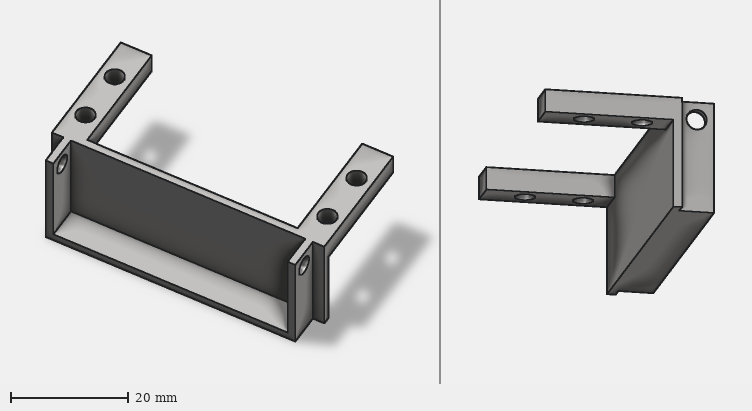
import cadquery as cq

total_width = 53.5
total_depth = 30.0
total_height = 19.5

wall = 1.5
tray_inner_width = 46.0
tray_depth = 6.1
tray_outer_width = tray_inner_width + 2 * wall

arm_width = 6.1
arm_length = total_depth - tray_depth - wall
arm_thickness = 4.0

hole_diameter = 3.5
arm_hole_inset = 3.0
arm_hole_spacing = 10.15
first_arm_hole_y = 4.85
side_hole_from_front = tray_depth / 2
side_hole_from_top = 3.05

plate_front_y = -wall
front_y = plate_front_y - tray_depth


def block(width, y_start, y_end, z_start, z_end, x_center=0.0):
    """Box centred on x_center, spanning the given Y and Z ranges."""
    return (
        cq.Workplane("XY")
        .box(width, y_end - y_start, z_end - z_start, centered=(True, False, False))
        .translate((x_center, y_start, z_start))
    )


def back_plate():
    """Full-width plate whose ends stand out beyond the tray as flanges."""
    return block(total_width, plate_front_y, 0, 0, total_height)


def tray():
    """Floor and two side walls, open at the front and the top."""
    outer = block(tray_outer_width, front_y, plate_front_y, 0, total_height)
    cavity = block(tray_inner_width, front_y, plate_front_y, wall, total_height)
    return outer.cut(cavity)


def arm(side):
    """Arm reaching back from one end of the plate; side is -1 or 1."""
    arm_center_x = side * (total_width - arm_width) / 2
    underside_z = total_height - arm_thickness
    return block(arm_width, plate_front_y, arm_length, underside_z, total_height, arm_center_x)


def arm_holes():
    """Two vertical through holes in each arm."""
    hole_x = total_width / 2 - arm_hole_inset
    hole_ys = (first_arm_hole_y, first_arm_hole_y + arm_hole_spacing)
    return (
        cq.Workplane("XY")
        .pushPoints([(side * hole_x, y) for side in (-1, 1) for y in hole_ys])
        .circle(hole_diameter / 2)
        .extrude(total_height)
    )


def side_holes():
    """One horizontal hole running through both tray side walls."""
    return (
        cq.Workplane("YZ")
        .center(front_y + side_hole_from_front, total_height - side_hole_from_top)
        .circle(hole_diameter / 2)
        .extrude(tray_outer_width / 2, both=True)
    )


body = back_plate().union(tray())
for arm_side in (-1, 1):
    body = body.union(arm(arm_side))

result = body.cut(arm_holes()).cut(side_holes())